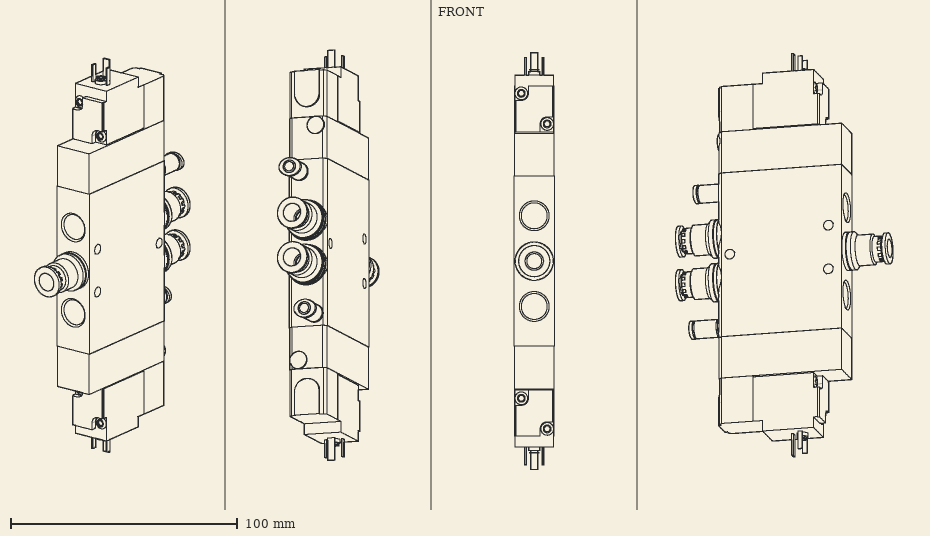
import cadquery as cq

BODY_WIDTH = 18.0
BODY_DEPTH = 56.5
BODY_HALF_LENGTH = 37.5
EDGE_CHAMFER = 1.65
PAD_HEIGHT = 0.6
PAD_FACE_Y = BODY_DEPTH + PAD_HEIGHT
PORT_PITCH = 20.0
PORT_DIAMETER = 11.45
PORT_MOUTH_DIAMETER = 13.16
PORT_DEPTH = 14.0
MOUNT_DIAMETER = 4.4
MOUNT_PLACES = [(6.0, PORT_PITCH / 2), (6.0, -PORT_PITCH / 2), (51.0, 0.0)]
OUTLET_BOSS_DIAMETER = BODY_WIDTH
PILOT_X = 3.5
PILOT_Z = 32.0
PILOT_DIAMETER = 8.0

END_BLOCK_TOP_Z = 56.4
OVERRIDE_DIAMETER = 7.8
OVERRIDE_X = -4.0
END_BLOCK_WIDTH = 17.6
BACK_WIDTH = 17.4
BACK_DEPTH = 56.0
BACK_CHAMFER = 1.2
COIL_WIDTH = 17.2
COIL_FRONT_Y = 12.9
COIL_STEP_Y = 36.2
COIL_BACK_Y = 40.4
COIL_GAP = 0.5
COIL_BASE_Z = END_BLOCK_TOP_Z + COIL_GAP
COIL_SHOULDER_Z = 77.2
COIL_TOP_Z = 82.0
BACK_PAD_DIAMETER = 11.4
BACK_PAD_END_Z = 61.0
COVER_FRONT_Y = 10.3
COVER_INSET = 0.5
COVER_INSET_DEPTH = 0.8
SCREW_X = 5.7
SCREW_HIGH_Z = 74.0
SCREW_LOW_Z = 60.5
SCREW_DIAMETER = 5.6
SCREW_HEIGHT = 0.7
SCREW_TAPER = 57.0
SCREW_SOCKET = 2.8
SCREW_SOCKET_DEPTH = 0.6
SCREW_POCKET_RADIUS = 3.1

TERMINAL_Y = 20.2
POST_DIAMETER = 5.0
POST_TOP_Z = 83.6
POST_NECK_DIAMETER = 3.2
POST_LIP_DIAMETER = 4.13
POST_LIP_BASE_Z = 84.4
POST_LIP_TOP_Z = 84.6
POST_HOLE_DIAMETER = 2.0
POST_HOLE_DEPTH = 2.5
BLADE_THICKNESS = 0.8
SIDE_BLADE_X = 3.9
SIDE_BLADE_WIDTH = 2.0
SIDE_BLADE_TOP_Z = 89.9
GROUND_BLADE_Y = 24.4
GROUND_BLADE_WIDTH = 3.2
GROUND_BLADE_TOP_Z = 92.0

FITTING_LENGTH = 19.55
FLANGE_DIAMETER = 17.0
FLANGE_GROOVE_DIAMETER = 16.4
FLANGE_GROOVE_START = 1.6
FLANGE_GROOVE_END = 1.9
FLANGE_END = 3.9
BARREL_DIAMETER = 13.7
BARREL_START = 5.6
BARREL_END = 12.4
NOSE_DIAMETER = 11.45
NOSE_START = 13.0
NOSE_END = 16.9
SERRATION_START = 15.4
SERRATION_ROOT_DIAMETER = 10.7
SERRATION_COUNT = 12
SERRATION_WIDTH = 1.5
NECK_DIAMETER = 9.4
RING_DIAMETER = 13.8
RING_START = 17.8
RING_RIM_END = 19.35
RING_FACE_DIAMETER = 8.4
TUBE_DIAMETER = 8.0
TUBE_STOP_DIAMETER = 6.6
TUBE_DEPTH = 14.0
TUBE_STOP_DEPTH = 15.0

PILOT_NECK_DIAMETER = 7.8
PILOT_NECK_LENGTH = 0.6
PILOT_BARREL_END = 10.7
PILOT_COLLAR_START = 11.3
PILOT_COLLAR_END = 12.8
PILOT_COLLAR_WIDTH = 10.0
PILOT_LIP_DIAMETER = 5.6
PILOT_LENGTH = 13.4
PILOT_TUBE_DIAMETER = 4.13
PILOT_TUBE_DEPTH = 10.0


def block(x_range, y_range, z_range):
    """Box given by its lower and upper limits along X, Y and Z."""
    size = [upper - lower for lower, upper in (x_range, y_range, z_range)]
    corner = (x_range[0], y_range[0], z_range[0])
    return cq.Workplane("XY").box(*size, centered=False).translate(corner)


def y_cylinder(diameter, x, z, y_start, y_end):
    """Round bar parallel to Y."""
    plane = cq.Workplane("XZ", origin=(x, y_start, z))
    return plane.circle(diameter / 2).extrude(y_start - y_end)


def z_cylinder(diameter, y, z_start, z_end):
    """Round bar parallel to Z on the centre plane of the thickness."""
    return cq.Workplane("XY", origin=(0, y, z_start)).circle(diameter / 2).extrude(z_end - z_start)


def chamfered_block(width, y_range, z_range, chamfer):
    """Block centred in X, with its two outlet-side edges chamfered."""
    sides = (-width / 2, width / 2)
    return block(sides, y_range, z_range).faces(">Y").edges("|Z").chamfer(chamfer)


def half_turn(shape):
    """The same shape turned half a turn about the Y axis."""
    return shape.rotate((0, 0, 0), (0, 1, 0), 180)


def supply_port(z):
    """Plain port in the supply face with a countersunk mouth."""
    mouth_depth = (PORT_MOUTH_DIAMETER - PORT_DIAMETER) / 2
    profile = [
        (0, 0),
        (PORT_MOUTH_DIAMETER / 2, 0),
        (PORT_DIAMETER / 2, mouth_depth),
        (PORT_DIAMETER / 2, PORT_DEPTH),
        (0, PORT_DEPTH),
    ]
    cutter = cq.Workplane("XY").polyline(profile).close().revolve(360, (0, 0, 0), (0, 1, 0))
    return cutter.translate((0, 0, z))


def make_valve_body():
    z_range = (-BODY_HALF_LENGTH, BODY_HALF_LENGTH)
    body = chamfered_block(BODY_WIDTH, (0, BODY_DEPTH), z_range, EDGE_CHAMFER)
    boss_base_y = BODY_DEPTH - EDGE_CHAMFER
    for side in (1, -1):
        outlet_z = side * PORT_PITCH / 2
        body = body.union(y_cylinder(OUTLET_BOSS_DIAMETER, 0, outlet_z, boss_base_y, PAD_FACE_Y))
        pilot_place = (side * PILOT_X, side * PILOT_Z)
        body = body.union(y_cylinder(PILOT_DIAMETER, *pilot_place, boss_base_y, PAD_FACE_Y))
        body = body.cut(supply_port(side * PORT_PITCH))
    mounts = cq.Workplane("YZ").pushPoints(MOUNT_PLACES).circle(MOUNT_DIAMETER / 2)
    return body.cut(mounts.extrude(BODY_WIDTH, both=True))


def make_end_block():
    z_range = (BODY_HALF_LENGTH, END_BLOCK_TOP_Z)
    end_block = chamfered_block(END_BLOCK_WIDTH, (0, BODY_DEPTH), z_range, EDGE_CHAMFER)
    override_z = END_BLOCK_TOP_Z - OVERRIDE_DIAMETER / 2
    override_base_y = BODY_DEPTH - EDGE_CHAMFER
    override = y_cylinder(OVERRIDE_DIAMETER, OVERRIDE_X, override_z, override_base_y, PAD_FACE_Y)
    return end_block.union(override)


def make_back_block():
    """Rear part of the solenoid, with a round-ended pad on its outlet side."""
    z_range = (END_BLOCK_TOP_Z, COIL_SHOULDER_Z)
    back = chamfered_block(BACK_WIDTH, (COIL_BACK_Y, BACK_DEPTH), z_range, BACK_CHAMFER)
    radius = BACK_PAD_DIAMETER / 2
    arc_z = BACK_PAD_END_Z + radius
    pad_base_y = BACK_DEPTH - BACK_CHAMFER
    pad = block((-radius, radius), (pad_base_y, PAD_FACE_Y), (arc_z, COIL_SHOULDER_Z))
    return back.union(pad).union(y_cylinder(BACK_PAD_DIAMETER, 0, arc_z, pad_base_y, PAD_FACE_Y))


def screw_pocket(side, z, open_z):
    """Corner pocket around a cover screw, open to the side wall and to the level open_z."""
    y_range = (COVER_FRONT_Y, COIL_FRONT_Y)
    inner_x = side * (SCREW_X - SCREW_POCKET_RADIUS)
    outer_x = side * COIL_WIDTH / 2
    away_z = z + SCREW_POCKET_RADIUS * (1 if z > open_z else -1)
    pocket = y_cylinder(2 * SCREW_POCKET_RADIUS, side * SCREW_X, z, *y_range)
    toward_opening = block(sorted((inner_x, outer_x)), y_range, sorted((z, open_z)))
    toward_side = block(sorted((side * SCREW_X, outer_x)), y_range, sorted((z, away_z)))
    return pocket.union(toward_opening).union(toward_side)


def cover_screw(side, z):
    """Tapered screw head with a hexagon socket."""
    base = cq.Workplane("XZ", origin=(side * SCREW_X, COIL_FRONT_Y, z))
    head = base.circle(SCREW_DIAMETER / 2).extrude(SCREW_HEIGHT, taper=SCREW_TAPER)
    top = base.workplane(offset=SCREW_HEIGHT)
    return head.cut(top.polygon(6, SCREW_SOCKET).extrude(-SCREW_SOCKET_DEPTH))


def make_coil():
    """Front part of the solenoid with its screwed cover."""
    sides = (-COIL_WIDTH / 2, COIL_WIDTH / 2)
    coil = block(sides, (COIL_FRONT_Y, COIL_STEP_Y), (COIL_BASE_Z, COIL_TOP_Z))
    coil = coil.union(block(sides, (COIL_STEP_Y, COIL_BACK_Y), (COIL_BASE_Z, COIL_SHOULDER_Z)))
    z_range = (COIL_BASE_Z, COIL_SHOULDER_Z)
    inset_sides = (sides[0] + COVER_INSET, sides[1] - COVER_INSET)
    inset_end_y = COVER_FRONT_Y + COVER_INSET_DEPTH
    cover = block(sides, (inset_end_y, COIL_FRONT_Y), z_range)
    cover = cover.union(block(inset_sides, (COVER_FRONT_Y, inset_end_y), z_range))
    cover = cover.cut(screw_pocket(-1, SCREW_HIGH_Z, COIL_SHOULDER_Z))
    cover = cover.cut(screw_pocket(1, SCREW_LOW_Z, COIL_BASE_Z))
    coil = coil.union(cover)
    coil = coil.union(cover_screw(-1, SCREW_HIGH_Z))
    return coil.union(cover_screw(1, SCREW_LOW_Z))


def make_terminals():
    """Ground blade, two contact blades and the hollow round post between them."""
    post = z_cylinder(POST_DIAMETER, TERMINAL_Y, COIL_TOP_Z, POST_TOP_Z)
    post = post.union(z_cylinder(POST_NECK_DIAMETER, TERMINAL_Y, POST_TOP_Z, POST_LIP_BASE_Z))
    post = post.union(z_cylinder(POST_LIP_DIAMETER, TERMINAL_Y, POST_LIP_BASE_Z, POST_LIP_TOP_Z))
    hole_end_z = POST_LIP_TOP_Z - POST_HOLE_DEPTH
    terminals = post.cut(z_cylinder(POST_HOLE_DIAMETER, TERMINAL_Y, hole_end_z, POST_LIP_TOP_Z))

    half_thickness = BLADE_THICKNESS / 2
    for x in (-SIDE_BLADE_X, SIDE_BLADE_X):
        x_range = (x - half_thickness, x + half_thickness)
        y_range = (TERMINAL_Y - SIDE_BLADE_WIDTH / 2, TERMINAL_Y + SIDE_BLADE_WIDTH / 2)
        terminals = terminals.union(block(x_range, y_range, (COIL_TOP_Z, SIDE_BLADE_TOP_Z)))

    x_range = (-GROUND_BLADE_WIDTH / 2, GROUND_BLADE_WIDTH / 2)
    y_range = (GROUND_BLADE_Y - half_thickness, GROUND_BLADE_Y + half_thickness)
    return terminals.union(block(x_range, y_range, (COIL_TOP_Z, GROUND_BLADE_TOP_Z)))


def make_end_unit():
    return make_end_block().union(make_back_block()).union(make_coil()).union(make_terminals())


def serration_slot(angle):
    """Cutter for one grip slot at the end of the nose, at the given angle about the fitting axis."""
    x_range = (SERRATION_ROOT_DIAMETER / 2, NOSE_DIAMETER / 2)
    z_range = (-SERRATION_WIDTH / 2, SERRATION_WIDTH / 2)
    return block(x_range, (SERRATION_START, NOSE_END), z_range).rotate((0, 0, 0), (0, 1, 0), angle)


def make_port_fitting():
    profile = [
        (0, 0),
        (FLANGE_DIAMETER / 2, 0),
        (FLANGE_DIAMETER / 2, FLANGE_GROOVE_START),
        (FLANGE_GROOVE_DIAMETER / 2, FLANGE_GROOVE_START),
        (FLANGE_GROOVE_DIAMETER / 2, FLANGE_GROOVE_END),
        (FLANGE_DIAMETER / 2, FLANGE_GROOVE_END),
        (FLANGE_DIAMETER / 2, FLANGE_END),
        (BARREL_DIAMETER / 2, BARREL_START),
        (BARREL_DIAMETER / 2, BARREL_END),
        (NOSE_DIAMETER / 2, NOSE_START),
        (NOSE_DIAMETER / 2, NOSE_END),
        (NECK_DIAMETER / 2, NOSE_END),
        (NECK_DIAMETER / 2, RING_START),
        (RING_DIAMETER / 2, RING_START),
        (RING_DIAMETER / 2, RING_RIM_END),
        (RING_FACE_DIAMETER / 2, FITTING_LENGTH),
        (TUBE_DIAMETER / 2, FITTING_LENGTH),
        (TUBE_DIAMETER / 2, FITTING_LENGTH - TUBE_DEPTH),
        (TUBE_STOP_DIAMETER / 2, FITTING_LENGTH - TUBE_DEPTH),
        (TUBE_STOP_DIAMETER / 2, FITTING_LENGTH - TUBE_STOP_DEPTH),
        (0, FITTING_LENGTH - TUBE_STOP_DEPTH),
    ]
    fitting = cq.Workplane("XY").polyline(profile).close().revolve(360, (0, 0, 0), (0, 1, 0))
    for index in range(SERRATION_COUNT):
        fitting = fitting.cut(serration_slot((index + 0.5) * 360 / SERRATION_COUNT))
    return fitting


def make_pilot_fitting():
    """Small push-in fitting with an oval release collar."""
    fitting = y_cylinder(PILOT_NECK_DIAMETER, 0, 0, 0, PILOT_COLLAR_START)
    fitting = fitting.union(y_cylinder(PILOT_DIAMETER, 0, 0, PILOT_NECK_LENGTH, PILOT_BARREL_END))
    collar_plane = cq.Workplane("XZ", origin=(0, PILOT_COLLAR_START, 0))
    collar = collar_plane.ellipse(PILOT_COLLAR_WIDTH / 2, PILOT_DIAMETER / 2)
    fitting = fitting.union(collar.extrude(PILOT_COLLAR_START - PILOT_COLLAR_END))
    fitting = fitting.union(y_cylinder(PILOT_LIP_DIAMETER, 0, 0, PILOT_COLLAR_END, PILOT_LENGTH))
    tube_end_y = PILOT_LENGTH - PILOT_TUBE_DEPTH
    return fitting.cut(y_cylinder(PILOT_TUBE_DIAMETER, 0, 0, tube_end_y, PILOT_LENGTH))


valve_body = make_valve_body()
end_unit = make_end_unit()
end_units = [end_unit, half_turn(end_unit)]

port_fitting = make_port_fitting()
supply_fitting = port_fitting.rotate((0, 0, 0), (0, 0, 1), 180)
outlet_fittings = [port_fitting.translate((0, PAD_FACE_Y, side * PORT_PITCH / 2)) for side in (1, -1)]

pilot_fitting = make_pilot_fitting().translate((PILOT_X, PAD_FACE_Y, PILOT_Z))
pilot_fittings = [pilot_fitting, half_turn(pilot_fitting)]

bodies = [valve_body, *end_units, supply_fitting, *outlet_fittings, *pilot_fittings]
result = cq.Compound.makeCompound([body.val() for body in bodies])